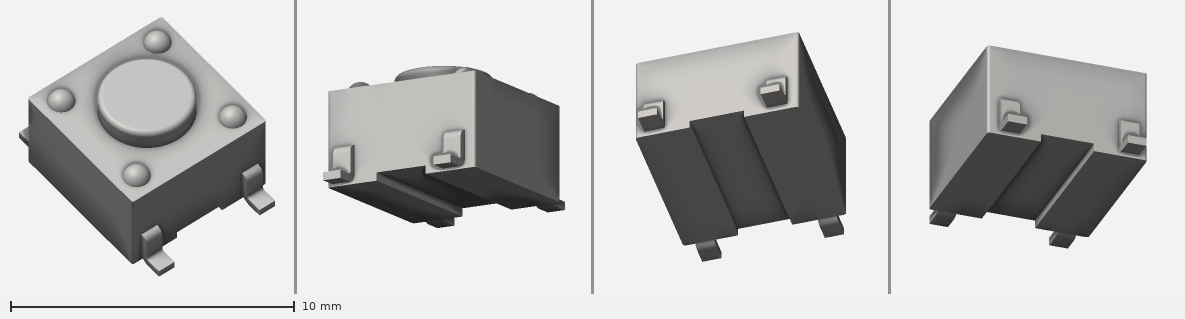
import cadquery as cq

body_side = 6.0
body_height = 3.5
cover_thickness = 0.3
base_height = body_height - cover_thickness
corner_radius = 0.1

slot_width = 2.0
slot_depth = 0.3

dome_base_radius = 0.5
dome_height = 0.4
dome_offset = 2.15

button_diameter = 3.5
button_height = 0.8
button_edge_radius = 0.2

lead_span = 8.0
lead_width = 0.7
lead_thickness = 0.3
lead_height = 1.4
lead_bend_inner_radius = 0.1
lead_offset_y = 2.25


def rounded_block(height, bottom_z):
    """Square block with rounded vertical edges."""
    return (
        cq.Workplane("XY", origin=(0, 0, bottom_z))
        .rect(body_side, body_side)
        .extrude(height)
        .edges("|Z")
        .fillet(corner_radius)
    )


def make_base():
    slot = cq.Workplane("XY").box(
        body_side, slot_width, slot_depth, centered=(True, True, False)
    )
    return rounded_block(base_height, 0).cut(slot)


def make_dome(x, y):
    """Spherical cap standing on the cover plate, revolved from half of its profile."""
    sphere_radius = (dome_base_radius**2 + dome_height**2) / (2 * dome_height)
    return (
        cq.Workplane("XZ", origin=(x, y, body_height))
        .lineTo(dome_base_radius, 0)
        .radiusArc((0, dome_height), -sphere_radius)
        .close()
        .revolve(360, (0, 0), (0, 1))
    )


def make_cover():
    """Cover plate with a dome near each corner."""
    cover = rounded_block(cover_thickness, base_height)
    for x in (-dome_offset, dome_offset):
        for y in (-dome_offset, dome_offset):
            cover = cover.union(make_dome(x, y))
    return cover


def make_button():
    return (
        cq.Workplane("XY", origin=(0, 0, body_height))
        .circle(button_diameter / 2)
        .extrude(button_height)
        .faces(">Z")
        .edges()
        .fillet(button_edge_radius)
    )


def make_lead(x_side, y_center):
    """Lead standing against the base wall on one X side (-1 or 1), its foot pointing outward."""
    wall_x = body_side / 2
    leg_x = wall_x + lead_thickness
    tip_x = lead_span / 2
    bend_outer_radius = lead_bend_inner_radius + lead_thickness
    foot_start_x = wall_x + bend_outer_radius

    profile = (
        cq.Workplane("XZ", origin=(0, y_center, 0))
        .moveTo(wall_x, lead_height)
        .radiusArc((leg_x, lead_height - lead_thickness), lead_thickness)
        .lineTo(leg_x, bend_outer_radius)
        .radiusArc((foot_start_x, lead_thickness), -lead_bend_inner_radius)
        .lineTo(tip_x, lead_thickness)
        .lineTo(tip_x, 0)
        .lineTo(foot_start_x, 0)
        .radiusArc((wall_x, bend_outer_radius), bend_outer_radius)
        .close()
    )
    lead = profile.extrude(lead_width / 2, both=True)
    return lead if x_side > 0 else lead.mirror("YZ")


base = make_base()
cover = make_cover()
button = make_button()
leads = [
    make_lead(x_side, y_center)
    for x_side in (-1, 1)
    for y_center in (-lead_offset_y, lead_offset_y)
]

bodies = [base, cover, button, *leads]

result = cq.Compound.makeCompound([body.solids().val() for body in bodies])